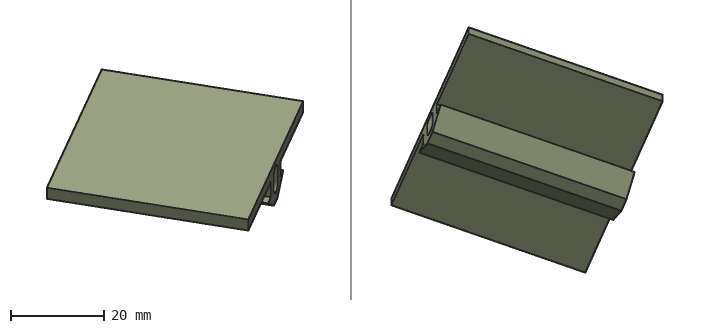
import cadquery as cq

length_x = 44.7
width_y = 45.0
total_height = 11.0
plate_thickness = 2.95

stem_width = 8.0
stem_height = 4.0
barb_width = 12.6
tip_width = 3.0

slot_width = 3.0

plate_bottom = -plate_thickness
barb_shoulder = plate_bottom - stem_height
tip_bottom = -total_height


def make_plate():
    return cq.Workplane("XY").box(
        length_x, width_y, plate_thickness, centered=(True, True, False)
    ).translate((0, 0, plate_bottom))


def make_rail():
    """Arrow-shaped profile in Y and Z, extruded along X."""
    half_outline = [
        (stem_width / 2, plate_bottom),
        (stem_width / 2, barb_shoulder),
        (barb_width / 2, barb_shoulder),
        (tip_width / 2, tip_bottom),
    ]
    mirrored_half = [(-y, z) for y, z in reversed(half_outline)]
    return (
        cq.Workplane("YZ")
        .polyline(half_outline + mirrored_half)
        .close()
        .extrude(length_x / 2, both=True)
    )


def make_slot():
    """Round-ended slot; its arcs are centred at the plate underside and the barb shoulder."""
    slot_centre = (plate_bottom + barb_shoulder) / 2
    slot_length = stem_height + slot_width
    return (
        cq.Workplane("YZ")
        .center(0, slot_centre)
        .slot2D(slot_length, slot_width, 90)
        .extrude(length_x / 2, both=True)
    )


result = make_plate().union(make_rail()).cut(make_slot())